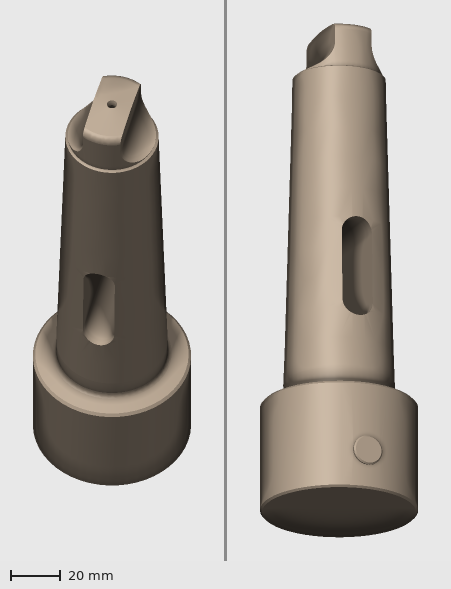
import cadquery as cq
import math

TOTAL_HEIGHT = 203.7

HEAD_RADIUS = 31.8
HEAD_BOTTOM_CHAMFER = 0.8
HEAD_SIDE_TOP = 44.2
HEAD_TOP_CHAMFER = 1.0
SHOULDER_INNER_TOP = 46.5
NECK_FILLET = 1.8

TAPER_LARGE_RADIUS = 22.5
TAPER_SMALL_RADIUS = 18.7
TAPER_BOTTOM = 54.0
TAPER_TOP = 183.0
TANG_BOTTOM = 183.7

TANG_RADIUS = 17.7
TANG_THICKNESS = 15.7
TANG_TOP_SLOPE = 7.0
TANG_TOP_FILLET = 2.9
TANG_CUTTER_RADIUS = 10.4
TANG_FLAT_BOTTOM = 194.3

CENTER_HOLE_RADIUS = 2.0
CENTER_DRILL_RADIUS = 1.2
CENTER_SINK_DEPTH = 2.0
CENTER_DRILL_DEPTH = 4.5

SLOT_WIDTH = 13.0
SLOT_BOTTOM = 76.8
SLOT_TOP_FRONT = 120.2
SLOT_TOP_BACK = 119.0

SCREW_RADIUS = 6.1
SCREW_CHAMFER = 0.6
SCREW_HEIGHT = 16.0
SCREW_FACE_Y = 32.8

EDGE_MARGIN = 0.02

TANG_RIM_DROP = (TANG_RADIUS - CENTER_HOLE_RADIUS) * math.tan(math.radians(TANG_TOP_SLOPE))
TANG_RIM_HEIGHT = TOTAL_HEIGHT - TANG_RIM_DROP
SCREW_LENGTH = 2 * SCREW_RADIUS
SCREW_FACE_CENTER = (0, SCREW_FACE_Y, SCREW_HEIGHT)


def circle_edge(radius, height):
    """Selector for the horizontal circular edge of a given radius and height."""
    reach = radius + EDGE_MARGIN
    return cq.selectors.BoxSelector(
        (-reach, -reach, height - EDGE_MARGIN),
        (reach, reach, height + EDGE_MARGIN),
        boundingbox=True,
    )


def turned_blank():
    """Head, neck, taper and round tang turned about the Z axis."""
    blank = (
        cq.Workplane("XZ")
        .moveTo(0, 0)
        .lineTo(HEAD_RADIUS - HEAD_BOTTOM_CHAMFER, 0)
        .lineTo(HEAD_RADIUS, HEAD_BOTTOM_CHAMFER)
        .lineTo(HEAD_RADIUS, HEAD_SIDE_TOP)
        .lineTo(HEAD_RADIUS - HEAD_TOP_CHAMFER, HEAD_SIDE_TOP + HEAD_TOP_CHAMFER)
        .lineTo(TAPER_LARGE_RADIUS, SHOULDER_INNER_TOP)
        .lineTo(TAPER_LARGE_RADIUS, TAPER_BOTTOM)
        .lineTo(TAPER_SMALL_RADIUS, TAPER_TOP)
        .lineTo(TANG_RADIUS, TANG_BOTTOM)
        .lineTo(TANG_RADIUS, TANG_RIM_HEIGHT)
        .lineTo(CENTER_HOLE_RADIUS, TOTAL_HEIGHT)
        .lineTo(0, TOTAL_HEIGHT)
        .close()
        .revolve(360, (0, 0, 0), (0, 1, 0))
    )
    blank = blank.edges(circle_edge(TAPER_LARGE_RADIUS, SHOULDER_INNER_TOP)).fillet(NECK_FILLET)
    return blank.edges(circle_edge(TANG_RADIUS, TANG_RIM_HEIGHT)).fillet(TANG_TOP_FILLET)


def tang_side_cut(side):
    """Material removed on one side of the tang: a flat running out in a quarter round."""
    flat_x = side * TANG_THICKNESS / 2
    round_end_x = flat_x + side * TANG_CUTTER_RADIUS
    round_bottom = TANG_FLAT_BOTTOM - TANG_CUTTER_RADIUS
    arc_offset = TANG_CUTTER_RADIUS * math.sqrt(0.5)
    arc_middle = (round_end_x - side * arc_offset, TANG_FLAT_BOTTOM - arc_offset)
    outer_x = side * HEAD_RADIUS
    return (
        cq.Workplane("XZ")
        .moveTo(flat_x, TOTAL_HEIGHT)
        .lineTo(flat_x, TANG_FLAT_BOTTOM)
        .threePointArc(arc_middle, (round_end_x, round_bottom))
        .lineTo(outer_x, round_bottom)
        .lineTo(outer_x, TOTAL_HEIGHT)
        .close()
        .extrude(HEAD_RADIUS, both=True)
    )


def center_hole():
    """Center-drilled hole in the end of the tang, countersunk at its mouth."""
    sink_bottom = TOTAL_HEIGHT - CENTER_SINK_DEPTH
    drill_bottom = TOTAL_HEIGHT - CENTER_DRILL_DEPTH
    return (
        cq.Workplane("XZ")
        .moveTo(0, TOTAL_HEIGHT)
        .lineTo(CENTER_HOLE_RADIUS, TOTAL_HEIGHT)
        .lineTo(CENTER_DRILL_RADIUS, sink_bottom)
        .lineTo(CENTER_DRILL_RADIUS, drill_bottom)
        .lineTo(0, drill_bottom)
        .close()
        .revolve(360, (0, 0, 0), (0, 1, 0))
    )


def drift_slot():
    """Round-ended slot through the taper along Y, its upper end sinking from front to back."""
    front_length = SLOT_TOP_FRONT - SLOT_BOTTOM
    back_length = SLOT_TOP_BACK - SLOT_BOTTOM
    front_center = (0, -TAPER_LARGE_RADIUS, SLOT_BOTTOM + front_length / 2)
    center_shift = (back_length - front_length) / 2
    return (
        cq.Workplane("XZ", origin=front_center)
        .slot2D(front_length, SLOT_WIDTH, angle=90)
        .workplane(offset=-2 * TAPER_LARGE_RADIUS)
        .center(0, center_shift)
        .slot2D(back_length, SLOT_WIDTH, angle=90)
        .loft(ruled=True)
    )


def screw_hole():
    """Blind hole in the +Y side of the head that the screw fills."""
    return cq.Workplane("XZ", origin=SCREW_FACE_CENTER).circle(SCREW_RADIUS).extrude(SCREW_LENGTH)


def make_holder():
    """Taper shank with head, tang, drift slot, center hole and screw hole."""
    holder = turned_blank()
    for side in (-1, 1):
        holder = holder.cut(tang_side_cut(side))
    return holder.cut(center_hole()).cut(drift_slot()).cut(screw_hole())


def make_screw():
    """Round set screw along Y with a chamfered outer end standing proud of the head."""
    return (
        cq.Workplane("XZ", origin=SCREW_FACE_CENTER)
        .circle(SCREW_RADIUS)
        .extrude(SCREW_LENGTH)
        .faces(">Y")
        .chamfer(SCREW_CHAMFER)
    )


holder = make_holder()
screw = make_screw()

result = cq.Compound.makeCompound([holder.val(), screw.val()])